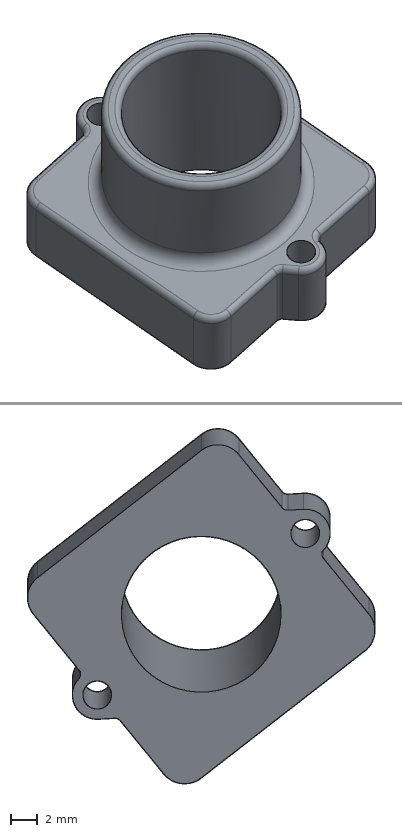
import cadquery as cq
import math

BASE_SIDE = 19.76
BASE_HEIGHT = 6.0
CORNER_RADIUS = 2.0

TUBE_DIAMETER = 15.0
BORE_DIAMETER = 12.0
TOTAL_HEIGHT = 15.0
TUBE_ROOT_RADIUS = 1.0

OVERALL_LENGTH = 23.75
LUG_SPACING = 20.0
LUG_RADIUS = (OVERALL_LENGTH - LUG_SPACING) / 2
LUG_TILT = 35.0
LUG_REACH = 3.0
SCREW_HOLE_DIAMETER = 2.15
LUG_BLEND_RADIUS = 0.5

EDGE_RADIUS = 0.5

PICK_MARGIN = 0.01


def make_lug(turn):
    """Round-ended lug tilted into the base, turned about Z to its side of the part."""
    tilt = math.radians(LUG_TILT)
    hole_x = -LUG_SPACING / 2
    middle_x = hole_x + LUG_REACH / 2 * math.cos(tilt)
    middle_y = LUG_REACH / 2 * math.sin(tilt)
    lug = (
        cq.Workplane("XY")
        .center(middle_x, middle_y)
        .slot2D(LUG_REACH + 2 * LUG_RADIUS, 2 * LUG_RADIUS, LUG_TILT)
        .extrude(BASE_HEIGHT)
    )
    return lug.rotate((0, 0, 0), (0, 0, 1), turn)


def lug_joint_edges():
    """Selector for the upright edges where the lugs meet the left and right base faces."""
    side = BASE_SIDE / 2
    reach_y = side - 2 * CORNER_RADIUS
    left = cq.selectors.BoxSelector(
        (-side - PICK_MARGIN, -reach_y, 0),
        (-side + PICK_MARGIN, reach_y, BASE_HEIGHT),
    )
    right = cq.selectors.BoxSelector(
        (side - PICK_MARGIN, -reach_y, 0),
        (side + PICK_MARGIN, reach_y, BASE_HEIGHT),
    )
    return left + right


def make_base():
    """Rounded square plate with two lugs and a rounded upper edge."""
    plate = cq.Workplane("XY").rect(BASE_SIDE, BASE_SIDE).extrude(BASE_HEIGHT)
    base = plate.edges("|Z").fillet(CORNER_RADIUS)
    for turn in (0, 180):
        base = base.union(make_lug(turn))
    base = base.edges("|Z").edges(lug_joint_edges()).fillet(LUG_BLEND_RADIUS)
    return base.faces(">Z").edges().fillet(EDGE_RADIUS)


def add_tube(base):
    """Tube with a filleted root, bored through the part and rounded at both rim edges."""
    tube = cq.Workplane("XY").circle(TUBE_DIAMETER / 2).extrude(TOTAL_HEIGHT)
    root_half = TUBE_DIAMETER / 2 + PICK_MARGIN
    root_edge = cq.selectors.BoxSelector(
        (-root_half, -root_half, BASE_HEIGHT - PICK_MARGIN),
        (root_half, root_half, BASE_HEIGHT + PICK_MARGIN),
        boundingbox=True,
    )
    body = base.union(tube).edges(root_edge).fillet(TUBE_ROOT_RADIUS)
    bore = cq.Workplane("XY").circle(BORE_DIAMETER / 2).extrude(TOTAL_HEIGHT)
    return body.cut(bore).faces(">Z").edges().fillet(EDGE_RADIUS)


def cut_screw_holes(body):
    """Straight through holes at the lug centres."""
    half = LUG_SPACING / 2
    holes = (
        cq.Workplane("XY")
        .pushPoints([(-half, 0), (half, 0)])
        .circle(SCREW_HOLE_DIAMETER / 2)
        .extrude(BASE_HEIGHT)
    )
    return body.cut(holes)


result = cut_screw_holes(add_tube(make_base()))